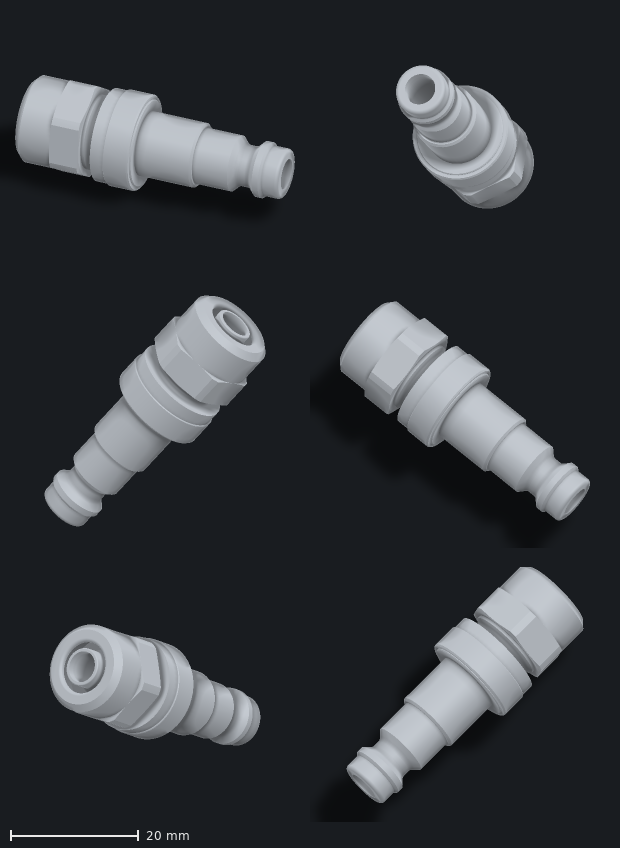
import cadquery as cq
import math

TOTAL_LENGTH = 43.5

NUT_FRONT_X = 0.2
NUT_DIAMETER = 14.0
NUT_FRONT_DIAMETER = 12.0
NUT_FRONT_BEVEL_LENGTH = 1.0
HEX_FRONT_X = 6.25
NUT_BACK_X = 11.2
HEX_ACROSS_FLATS = 14.0
HEX_CORNER_DIAMETER = 15.5
HEX_BEVEL_LENGTH = 0.18
HEX_CORNER_ANGLE = 8.35
HOSE_HOLE_DIAMETER = 8.25
HOSE_HOLE_MOUTH_RADIUS = 0.5
LIP_LENGTH = 0.8
HOSE_CHAMBER_DIAMETER = 11.15

BORE_DIAMETER = 4.95
STEM_DIAMETER = 6.05
STEM_TIP_RADIUS = 0.2
STEM_SHOULDER_DIAMETER = 7.5
STEM_CONE_LENGTH = 1.75
THREAD_DIAMETER = 12.0
THREAD_FRONT_X = 5.0
THREAD_BACK_X = 11.7
SHAFT_DIAMETER = 10.4
NECK_FILLET_RADIUS = 0.5
NECK_BEVEL_ANGLE = 57
COLLAR_DIAMETER = 15.0
COLLAR_FRONT_X = 13.3

RING_FRONT_X = 15.5
RING_BACK_X = 19.95
RING_DIAMETER = 15.5
RING_HOLE_DIAMETER = 10.42
RING_FRONT_BEVEL = 0.1
RING_BACK_BEVEL_LENGTH = 0.25
RING_BACK_BEVEL_DEPTH = 0.2
RING_LIP_DIAMETER = 14.05
RING_LIP_LENGTH = 0.25
RING_LIP_BEVEL = 0.15

SHAFT_BACK_X = 29.35
SHAFT_BEVEL = 0.35
PLUG_DIAMETER = 9.0
GROOVE_FRONT_X = 35.2
GROOVE_BACK_X = 39.35
GROOVE_DIAMETER = 6.65
GROOVE_FILLET_RADIUS = 1.0
GROOVE_BEVEL_ANGLE = 45
RIM_BACK_X = 40.8
NOSE_DIAMETER = 8.1
NOSE_TIP_RADIUS = 0.6


def revolve_about_x(profile):
    """Turn a closed (x, radius) profile into a solid around the X axis."""
    return profile.close().revolve(360, (0, 0, 0), (1, 0, 0))


def cylinder(start_x, end_x, diameter):
    """Solid cylinder on the X axis between two stations."""
    return cq.Workplane("YZ", origin=(start_x, 0, 0)).circle(diameter / 2).extrude(end_x - start_x)


def concave_fillet(start_x, direction, floor_radius, fillet_radius, angle):
    """Upper end and middle point of a fillet rising from a floor at start_x to the given slope angle."""
    points = []
    for turn in (angle, angle / 2):
        turn = math.radians(turn)
        x = start_x + direction * fillet_radius * math.sin(turn)
        radius = floor_radius + fillet_radius * (1 - math.cos(turn))
        points.append((x, radius))
    return points


def make_nut_hex():
    """Hexagon with rounded corners and a shallow conical bevel at both ends."""
    hex_length = NUT_BACK_X - HEX_FRONT_X
    across_corners = HEX_ACROSS_FLATS / math.cos(math.radians(30))
    prism = (
        cq.Workplane("YZ", origin=(HEX_FRONT_X, 0, 0))
        .transformed(rotate=(0, 0, 90 - HEX_CORNER_ANGLE))
        .polygon(6, across_corners)
        .extrude(hex_length)
    )
    flat_radius = HEX_ACROSS_FLATS / 2
    corner_radius = HEX_CORNER_DIAMETER / 2
    envelope = revolve_about_x(
        cq.Workplane("XY")
        .moveTo(HEX_FRONT_X, 0)
        .lineTo(HEX_FRONT_X, flat_radius)
        .lineTo(HEX_FRONT_X + HEX_BEVEL_LENGTH, corner_radius)
        .lineTo(NUT_BACK_X - HEX_BEVEL_LENGTH, corner_radius)
        .lineTo(NUT_BACK_X, flat_radius)
        .lineTo(NUT_BACK_X, 0)
    )
    return prism.intersect(envelope)


def make_nut():
    front_radius = NUT_FRONT_DIAMETER / 2
    barrel_radius = NUT_DIAMETER / 2
    barrel = revolve_about_x(
        cq.Workplane("XY")
        .moveTo(NUT_FRONT_X, 0)
        .lineTo(NUT_FRONT_X, front_radius)
        .lineTo(NUT_FRONT_X + NUT_FRONT_BEVEL_LENGTH, barrel_radius)
        .lineTo(HEX_FRONT_X, barrel_radius)
        .lineTo(HEX_FRONT_X, 0)
    )
    lip_back_x = NUT_FRONT_X + LIP_LENGTH
    hose_hole = cylinder(NUT_FRONT_X, lip_back_x, HOSE_HOLE_DIAMETER)
    hose_chamber = cylinder(lip_back_x, THREAD_FRONT_X, HOSE_CHAMBER_DIAMETER)
    thread_hole = cylinder(THREAD_FRONT_X, NUT_BACK_X, THREAD_DIAMETER)
    nut = barrel.union(make_nut_hex()).cut(hose_hole).cut(hose_chamber).cut(thread_hole)
    mouth = cq.selectors.RadiusNthSelector(0)
    return nut.faces("<X").edges(mouth).fillet(HOSE_HOLE_MOUTH_RADIUS)


def make_plug_body():
    """Hose stem, thread, collar and coupling plug turned from one piece, with a through bore."""
    bore_radius = BORE_DIAMETER / 2
    stem_radius = STEM_DIAMETER / 2
    shoulder_radius = STEM_SHOULDER_DIAMETER / 2
    thread_radius = THREAD_DIAMETER / 2
    shaft_radius = SHAFT_DIAMETER / 2
    collar_radius = COLLAR_DIAMETER / 2
    plug_radius = PLUG_DIAMETER / 2
    groove_radius = GROOVE_DIAMETER / 2
    nose_radius = NOSE_DIAMETER / 2

    neck_slope = math.tan(math.radians(NECK_BEVEL_ANGLE))
    neck_rise = NECK_FILLET_RADIUS * (1 - math.cos(math.radians(NECK_BEVEL_ANGLE)))
    neck_run = NECK_FILLET_RADIUS * math.sin(math.radians(NECK_BEVEL_ANGLE))
    neck_bevel_length = (thread_radius - shaft_radius - neck_rise) / neck_slope
    neck_floor_front_x = THREAD_BACK_X + neck_bevel_length + neck_run
    neck_floor_back_x = COLLAR_FRONT_X - NECK_FILLET_RADIUS
    neck_front = concave_fillet(neck_floor_front_x, -1, shaft_radius, NECK_FILLET_RADIUS, NECK_BEVEL_ANGLE)
    neck_back = concave_fillet(neck_floor_back_x, 1, shaft_radius, NECK_FILLET_RADIUS, 90)

    groove_slope = math.tan(math.radians(GROOVE_BEVEL_ANGLE))
    groove_rise = GROOVE_FILLET_RADIUS * (1 - math.cos(math.radians(GROOVE_BEVEL_ANGLE)))
    groove_run = GROOVE_FILLET_RADIUS * math.sin(math.radians(GROOVE_BEVEL_ANGLE))
    groove_side_length = (plug_radius - groove_radius - groove_rise) / groove_slope + groove_run
    floor_front_x = GROOVE_FRONT_X + groove_side_length
    floor_back_x = GROOVE_BACK_X - groove_side_length
    groove_front = concave_fillet(floor_front_x, -1, groove_radius, GROOVE_FILLET_RADIUS, GROOVE_BEVEL_ANGLE)
    groove_back = concave_fillet(floor_back_x, 1, groove_radius, GROOVE_FILLET_RADIUS, GROOVE_BEVEL_ANGLE)

    return revolve_about_x(
        cq.Workplane("XY")
        .moveTo(0, bore_radius)
        .lineTo(0, stem_radius - STEM_TIP_RADIUS)
        .radiusArc((STEM_TIP_RADIUS, stem_radius), STEM_TIP_RADIUS)
        .lineTo(THREAD_FRONT_X - STEM_CONE_LENGTH, stem_radius)
        .lineTo(THREAD_FRONT_X, shoulder_radius)
        .lineTo(THREAD_FRONT_X, thread_radius)
        .lineTo(THREAD_BACK_X, thread_radius)
        .lineTo(*neck_front[0])
        .threePointArc(neck_front[1], (neck_floor_front_x, shaft_radius))
        .lineTo(neck_floor_back_x, shaft_radius)
        .threePointArc(neck_back[1], neck_back[0])
        .lineTo(COLLAR_FRONT_X, collar_radius)
        .lineTo(RING_FRONT_X, collar_radius)
        .lineTo(RING_FRONT_X, shaft_radius)
        .lineTo(SHAFT_BACK_X - SHAFT_BEVEL, shaft_radius)
        .lineTo(SHAFT_BACK_X, shaft_radius - SHAFT_BEVEL)
        .lineTo(SHAFT_BACK_X, plug_radius)
        .lineTo(GROOVE_FRONT_X, plug_radius)
        .lineTo(*groove_front[0])
        .threePointArc(groove_front[1], (floor_front_x, groove_radius))
        .lineTo(floor_back_x, groove_radius)
        .threePointArc(groove_back[1], groove_back[0])
        .lineTo(GROOVE_BACK_X, plug_radius)
        .lineTo(RIM_BACK_X - (plug_radius - nose_radius), plug_radius)
        .lineTo(RIM_BACK_X, nose_radius)
        .lineTo(TOTAL_LENGTH - NOSE_TIP_RADIUS, nose_radius)
        .radiusArc((TOTAL_LENGTH, nose_radius - NOSE_TIP_RADIUS), NOSE_TIP_RADIUS)
        .lineTo(TOTAL_LENGTH, bore_radius)
    )


def make_colour_ring():
    """Ring on the shaft, seated against the collar, with a low bevelled lip on its back face."""
    hole_radius = RING_HOLE_DIAMETER / 2
    ring_radius = RING_DIAMETER / 2
    lip_radius = RING_LIP_DIAMETER / 2
    shoulder_x = RING_BACK_X - RING_LIP_LENGTH
    return revolve_about_x(
        cq.Workplane("XY")
        .moveTo(RING_FRONT_X, hole_radius)
        .lineTo(RING_FRONT_X, ring_radius - RING_FRONT_BEVEL)
        .lineTo(RING_FRONT_X + RING_FRONT_BEVEL, ring_radius)
        .lineTo(shoulder_x - RING_BACK_BEVEL_LENGTH, ring_radius)
        .lineTo(shoulder_x, ring_radius - RING_BACK_BEVEL_DEPTH)
        .lineTo(shoulder_x, lip_radius)
        .lineTo(RING_BACK_X - RING_LIP_BEVEL, lip_radius)
        .lineTo(RING_BACK_X, lip_radius - RING_LIP_BEVEL)
        .lineTo(RING_BACK_X, hole_radius)
    )


nut = make_nut()
plug_body = make_plug_body()
colour_ring = make_colour_ring()

result = cq.Compound.makeCompound([nut.val(), plug_body.val(), colour_ring.val()])